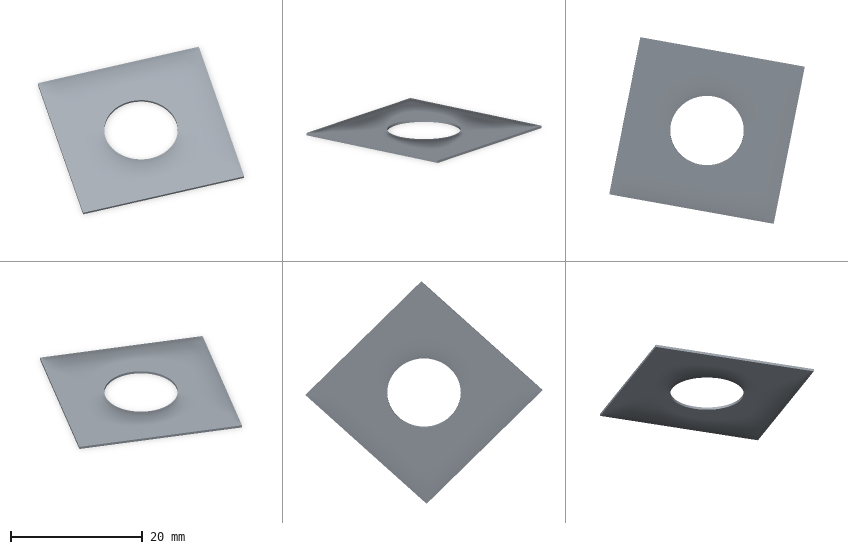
import cadquery as cq

side_length = 25.4
thickness = 0.38
hole_diameter = 11.18

result = (
    cq.Workplane("XY")
    .box(side_length, side_length, thickness)
    .faces(">Z")
    .workplane()
    .hole(hole_diameter)
)